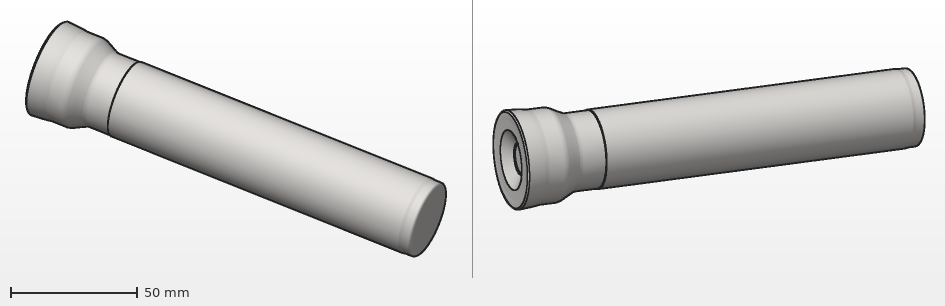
import cadquery as cq

total_length = 170.0
joint_x = 34.7

rim_radius = 40.0 / 2
rim_chamfer = 0.7
rim_band_end_x = 7.8
rim_band_end_radius = 19.4
rim_bow = 0.2
collar_start_x = 9.5
collar_radius = 38.2 / 2
shoulder_start_x = 16.0
cone_start_x = 18.0
cone_start_radius = 18.7
cone_end_x = 23.6
cone_end_radius = 16.0
neck_start_x = 25.2
neck_radius = 31.5 / 2

face_step_outer_radius = 17.7
face_step_outer_depth = 0.07
face_step_inner_radius = 16.2
face_step_inner_depth = 0.2
recess_mouth_radius = 12.0
recess_mouth_depth = 0.3
recess_wall_radius = 10.5
recess_wall_depth = 1.4
recess_foot_radius = 6.5
recess_foot_depth = 3.9
recess_floor_radius = 6.1
recess_floor_depth = 4.5

barrel_radius = 32.0 / 2
joint_chamfer = barrel_radius - neck_radius
tail_radius = 31.5 / 2
tail_taper_start = 5.3
tail_land_start = 3.9
tail_round = 1.0


def revolve_about_x(profile):
    return profile.close().revolve(360, (0, 0, 0), (1, 0, 0))


def make_head():
    band_mid = (
        (rim_chamfer + rim_band_end_x) / 2,
        (rim_radius + rim_band_end_radius) / 2 + rim_bow,
    )
    shoulder_mid = (
        (shoulder_start_x + cone_start_x) / 2,
        collar_radius - (collar_radius - cone_start_radius) / 4,
    )
    neck_mid = (
        (cone_end_x + neck_start_x) / 2,
        neck_radius + (cone_end_radius - neck_radius) / 4,
    )
    profile = (
        cq.Workplane("XY")
        .moveTo(recess_floor_depth, 0)
        .lineTo(recess_floor_depth, recess_floor_radius)
        .lineTo(recess_foot_depth, recess_foot_radius)
        .lineTo(recess_wall_depth, recess_wall_radius)
        .lineTo(recess_mouth_depth, recess_mouth_radius)
        .lineTo(face_step_inner_depth, face_step_inner_radius)
        .lineTo(face_step_outer_depth, face_step_outer_radius)
        .lineTo(0, rim_radius - rim_chamfer)
        .lineTo(rim_chamfer, rim_radius)
        .threePointArc(band_mid, (rim_band_end_x, rim_band_end_radius))
        .lineTo(collar_start_x, collar_radius)
        .lineTo(shoulder_start_x, collar_radius)
        .threePointArc(shoulder_mid, (cone_start_x, cone_start_radius))
        .lineTo(cone_end_x, cone_end_radius)
        .threePointArc(neck_mid, (neck_start_x, neck_radius))
        .lineTo(joint_x, neck_radius)
        .lineTo(joint_x, 0)
    )
    return revolve_about_x(profile)


def make_barrel():
    profile = (
        cq.Workplane("XY")
        .moveTo(joint_x, 0)
        .lineTo(joint_x, barrel_radius - joint_chamfer)
        .lineTo(joint_x + joint_chamfer, barrel_radius)
        .lineTo(total_length - tail_taper_start, barrel_radius)
        .lineTo(total_length - tail_land_start, tail_radius)
        .lineTo(total_length - tail_round, tail_radius)
        .radiusArc((total_length, tail_radius - tail_round), tail_round)
        .lineTo(total_length, 0)
    )
    return revolve_about_x(profile)


head = make_head()
barrel = make_barrel()
result = cq.Compound.makeCompound([head.val(), barrel.val()])